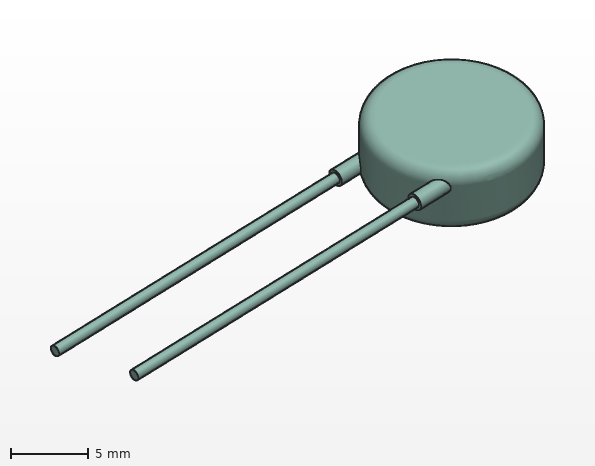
import cadquery as cq

disc_diameter = 12.0
disc_height = 5.0
disc_edge_radius = 1.0

overall_length = 37.75
lead_diameter = 0.8
lead_side_offset = 3.75
lead_height_offset = 1.32

sleeve_diameter = 1.2
sleeve_start_y = -3.02
sleeve_end_y = -6.8

lead_tip_y = disc_diameter / 2 - overall_length
lead_positions = [
    (-lead_side_offset, -lead_height_offset),
    (lead_side_offset, lead_height_offset),
]


def rod_along_y(diameter, x, z, start_y, end_y):
    """Round rod from start_y to end_y, with end_y further toward -Y."""
    plane = cq.Workplane("XZ", origin=(x, start_y, z))
    return plane.circle(diameter / 2).extrude(start_y - end_y)


def make_housing():
    """Coated disc with rounded rims and the two sleeves that grow out of it."""
    base = cq.Workplane("XY", origin=(0, 0, -disc_height / 2))
    disc = base.circle(disc_diameter / 2).extrude(disc_height)
    housing = disc.faces("<Z or >Z").edges().fillet(disc_edge_radius)
    for x, z in lead_positions:
        housing = housing.union(rod_along_y(sleeve_diameter, x, z, sleeve_start_y, sleeve_end_y))
    return housing


def make_lead(x, z):
    """Wire lead that butts against the end face of its sleeve."""
    return rod_along_y(lead_diameter, x, z, sleeve_end_y, lead_tip_y)


housing = make_housing()
leads = [make_lead(x, z).val() for x, z in lead_positions]

result = cq.Compound.makeCompound([housing.solids().val(), *leads])